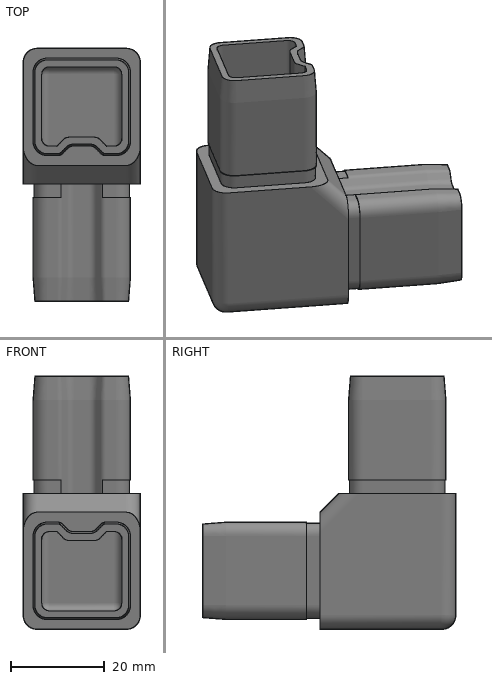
import cadquery as cq
import math


overall = 54.0

body_width = 25.0
body_radius = 3.0
inner_bevel = 4.0
body_half = body_width / 2
body_reach = body_half + inner_bevel
plug_reach = overall - body_half

plug_width = 20.8
plug_half = plug_width / 2
plug_radius = 3.0
neck_length = 2.85
neck_inset = 0.2
tip_length = 5.1
tip_inset = 0.4

groove_mouth = 4.55
groove_depth = 2.05
groove_floor = groove_mouth - groove_depth
mouth_radius = 1.45
floor_radius = 1.8

bore_half = 8.55
bore_radius = 1.6
bore_groove_top = 8.35
bore_mouth = 5.3
bore_groove_depth = 1.9
bore_floor = bore_mouth - bore_groove_depth

MITRE = math.tan(math.radians(22.5))


def round_corners(wire, radius, half_x, y):
    """Round the pair of wire corners at (+-half_x, y)."""
    corners = [
        v for v in wire.Vertices()
        if math.isclose(abs(v.X), half_x, abs_tol=5.4e-05) and math.isclose(v.Y, y, abs_tol=5.4e-05)
    ]
    return wire.fillet2D(radius, corners)


def grooved_outline(half_x, back, front, mouth, floor, depth, height):
    """Sharp rectangle with a flared groove in its -Y side."""
    right = [(half_x, back), (half_x, -front), (mouth, -front), (floor, depth - front)]
    left = [(-x, y) for x, y in reversed(right)]
    return cq.Wire.makePolygon([cq.Vector(x, y, height) for x, y in right + left], close=True)


def plug_outline(inset, height):
    """Rounded plug section, moved inward evenly by the inset."""
    half = plug_half - inset
    mouth = groove_mouth + inset * MITRE
    floor = groove_floor + inset * MITRE
    wire = grooved_outline(half, half, half, mouth, floor, groove_depth, height)
    wire = round_corners(wire, plug_radius - inset, half, half)
    wire = round_corners(wire, plug_radius - inset, half, -half)
    wire = round_corners(wire, mouth_radius - inset, mouth, -half)
    return round_corners(wire, floor_radius + inset, floor, groove_depth - half)


def forward(shape):
    """Turn a feature of the upward plug into the same feature of the forward plug."""
    return shape.rotate((0, 0, 0), (0, 1, -1), 180)


def elbow_block(half, reach, radius):
    """Block closed at +Y and -Z, with the edges around those two sides rounded."""
    size = half + reach
    centre = (half - reach) / 2
    block = cq.Workplane("XY").box(2 * half, size, size).translate((0, centre, -centre))
    return block.edges("(|X and >Y and <Z) or (|Y and <Z) or (|Z and >Y)").fillet(radius)


def make_body():
    """Solid elbow with a bevelled, round-edged inner corner."""
    body = elbow_block(body_half, body_reach, body_radius)
    body = body.edges("|X and <Y and >Z").chamfer(inner_bevel)
    bevel_face = body.faces(cq.selectors.DirectionMinMaxSelector(cq.Vector(0, -1, 1)))
    return bevel_face.edges("not |X").fillet(body_radius)


def make_plug():
    """Solid upward plug, starting inside the body."""
    neck_top = body_reach + neck_length
    tip_base = plug_reach - tip_length
    section = cq.Face.makeFromWires(plug_outline(0, 0))
    shaft = cq.Workplane(cq.Solid.extrudeLinear(section, cq.Vector(0, 0, tip_base)))
    neck_width = plug_width - 2 * neck_inset
    neck = (
        cq.Workplane("XY")
        .rect(neck_width, neck_width)
        .extrude(neck_top)
        .edges("|Z")
        .fillet(plug_radius - neck_inset)
    )
    grip = cq.Workplane(cq.Solid.extrudeLinear(section, cq.Vector(0, 0, tip_base - neck_top)))
    grip = grip.translate((0, 0, neck_top))
    shaft = shaft.intersect(neck).union(grip)
    tip = cq.Solid.makeLoft([plug_outline(0, tip_base), plug_outline(tip_inset, plug_reach)], True)
    return shaft.union(cq.Workplane(tip))


def make_bore():
    """Space inside the upward plug, running down to the inner floor of the elbow."""
    wire = grooved_outline(
        bore_half, bore_half, bore_groove_top, bore_mouth, bore_floor, bore_groove_depth, -bore_half
    )
    wire = round_corners(wire, bore_radius, bore_half, -bore_groove_top)
    wire = round_corners(wire, bore_radius, bore_floor, bore_groove_depth - bore_groove_top)
    length = plug_reach + bore_half
    section = cq.Face.makeFromWires(wire)
    return cq.Workplane(cq.Solid.extrudeLinear(section, cq.Vector(0, 0, length)))


plug = make_plug()
bore = make_bore()
hollow = bore.union(forward(bore)).intersect(elbow_block(bore_half, plug_reach, bore_radius))
result = make_body().union(plug).union(forward(plug)).cut(hollow)